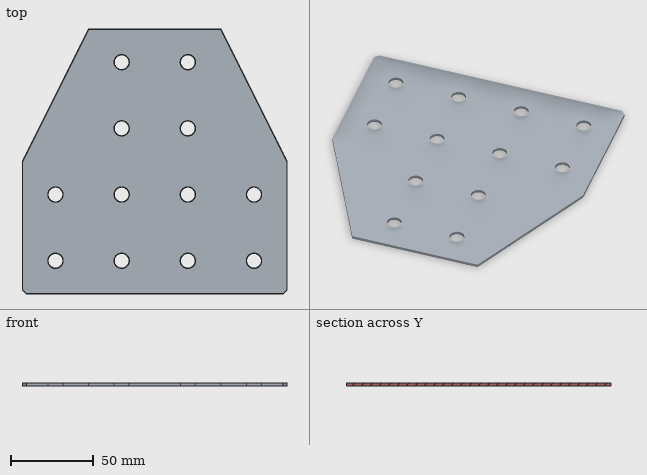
import cadquery as cq

pitch = 40.0
thickness = 2.0
hole_diameter = 9.0
corner_chamfer = 2.4

side = 4 * pitch
half_side = side / 2
half_top = pitch


def plate():
    """Plate with a wide rectangular lower half tapering to a narrow upper edge."""
    outline = [
        (-half_side, -half_side),
        (half_side, -half_side),
        (half_side, 0),
        (half_top, half_side),
        (-half_top, half_side),
        (-half_side, 0),
    ]
    body = cq.Workplane("XY").polyline(outline).close().extrude(thickness)
    return body.edges("|Z and <Y").chamfer(corner_chamfer)


def hole_centres():
    """Two full rows of four holes, then two rows of two in the tapered half."""
    inner = pitch / 2
    outer = inner + pitch
    lower = [(x, y) for x in (-outer, -inner, inner, outer) for y in (-outer, -inner)]
    upper = [(x, y) for x in (-inner, inner) for y in (inner, outer)]
    return lower + upper


result = plate().faces(">Z").workplane(origin=(0, 0, 0)).pushPoints(hole_centres()).hole(hole_diameter)